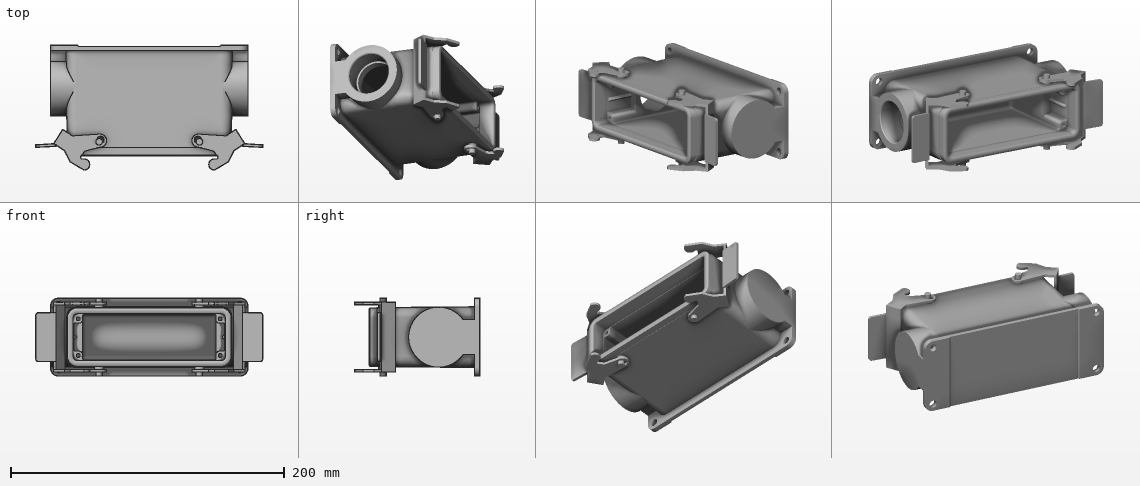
import cadquery as cq
import math


FLANGE_LENGTH = 144.2
FLANGE_HEIGHT = 57.0
FLANGE_THICKNESS = 4.0
FLANGE_CORNER_RADIUS = 6.0
FLANGE_HOLE_DIAMETER = 5.6
FLANGE_HOLE_X = 66.0
FLANGE_HOLE_Z = 23.0
RELIEF_HALF_LENGTH = 52.5
RELIEF_DEPTH = 1.0

BODY_LENGTH = 121.3
BODY_HEIGHT = 44.5
BODY_FRONT_DEPTH = 75.0
BODY_CORNER_RADIUS = 7.5
BODY_DRAFT = 0.5

LIP_LENGTH = 119.7
LIP_HEIGHT = 42.8
LIP_WIDTH = 4.3
LIP_EDGE_DEPTH = 80.2
LIP_CROWN = 0.7
LIP_CORNER_RADIUS = 7.3

MOUTH_LENGTH = LIP_LENGTH - 2 * LIP_WIDTH
MOUTH_HEIGHT = LIP_HEIGHT - 2 * LIP_WIDTH
MOUTH_CORNER_RADIUS = LIP_CORNER_RADIUS - LIP_WIDTH
MOUTH_FLOOR_DEPTH = 69.6
CAVITY_LENGTH = 97.5
CAVITY_HEIGHT = 33.5
CAVITY_FLOOR_DEPTH = 5.0
CAVITY_CORNER_RADIUS = 1.7
CAVITY_FLOOR_RADIUS = 3.0
SHELF_DEPTH = 48.0
SHELF_HALF_LENGTH = 55.0
SHELF_HEIGHT = 20.5
SHELF_WALL_RADIUS = 1.0
POST_CORNER_RADIUS = 2.3

SCREW_HOLE_DIAMETER = 2.8
SCREW_HOLE_LENGTH = 13.3
SCREW_HOLE_X = 51.9
SCREW_HOLE_Z = 13.5
RIB_FRONT_DEPTH = 68.8
RIB_HALF_WIDTH = 1.5
RIB_PROJECTION = 2.0

GLAND_DIAMETER = 44.0
GLAND_DEPTH = 30.0
GLAND_INNER_X = 53.0
GLAND_WEB_HEIGHT = 25.5
ENTRY_DIAMETER = 30.7
ENTRY_LENGTH = 16.0
ENTRY_CHAMFER = 0.7
BORE_DIAMETER = 28.0

PIN_X = 36.6
PIN_DEPTH = 70.6
PIN_DIAMETER = 4.8
COLLAR_DIAMETER = 7.0

LEVER_HEIGHT = 51.0
SHEET_THICKNESS = 2.0
EYE_X = 36.0
EYE_DEPTH = 69.8
EYE_RADIUS = 4.8
SLOT_LENGTH = PIN_DIAMETER + 2 * math.hypot(PIN_X - EYE_X, PIN_DEPTH - EYE_DEPTH)
SLOT_ANGLE = math.degrees(math.atan2(PIN_DEPTH - EYE_DEPTH, PIN_X - EYE_X))
HOOK_X = 47.5
HOOK_DEPTH = 87.2
HOOK_RADIUS = 4.1
BRIDGE_BACK = (-63.2, -61.5)
BRIDGE_FRONT = (-69.8, -72.0)
HANDLE_HEIGHT = 35.8
HANDLE_TIP_X = 82.9
HANDLE_DROP = 0.8
HANDLE_CORNER_RADIUS = 2.0

OVERLAP = 1.7


def block(length, height, start_depth, end_depth, radius=0.0, draft=0.0):
    """Box centred on X and Z between two depths, its edges along Y rounded and its sides drafted."""
    outline = cq.Sketch().rect(length, height)
    if radius:
        outline = outline.vertices().fillet(radius)
    plane = cq.Workplane("XZ", origin=(0, -start_depth, 0))
    return plane.placeSketch(outline).extrude(end_depth - start_depth, taper=draft)


def cylinder_along_x(diameter, start_x, end_x):
    plane = cq.Workplane("YZ", origin=(start_x, -GLAND_DEPTH, 0))
    return plane.circle(diameter / 2).extrude(end_x - start_x)


def mirrored_x(shape):
    return shape.mirror("YZ")


def make_flange():
    flange = block(FLANGE_LENGTH, FLANGE_HEIGHT, 0, FLANGE_THICKNESS, FLANGE_CORNER_RADIUS)
    holes = (
        cq.Workplane("XZ")
        .rect(2 * FLANGE_HOLE_X, 2 * FLANGE_HOLE_Z, forConstruction=True)
        .vertices()
        .circle(FLANGE_HOLE_DIAMETER / 2)
        .extrude(FLANGE_THICKNESS)
    )
    relief_end = RELIEF_HALF_LENGTH - RELIEF_DEPTH
    relief = (
        cq.Workplane("XY")
        .polyline(
            [
                (-RELIEF_HALF_LENGTH, 0),
                (-relief_end, -RELIEF_DEPTH),
                (relief_end, -RELIEF_DEPTH),
                (RELIEF_HALF_LENGTH, 0),
            ]
        )
        .close()
        .extrude(FLANGE_HEIGHT / 2, both=True)
    )
    return flange.cut(holes).cut(relief)


def make_lip():
    """Ring with a crowned front, swept round the opening."""
    half_x = LIP_LENGTH / 2
    half_z = LIP_HEIGHT / 2
    flat_x = half_x - LIP_CORNER_RADIUS
    flat_z = half_z - LIP_CORNER_RADIUS
    bulge = LIP_CORNER_RADIUS * math.sqrt(0.5)
    path = (
        cq.Workplane("XZ", origin=(0, -BODY_FRONT_DEPTH, 0))
        .moveTo(0, half_z)
        .lineTo(flat_x, half_z)
        .threePointArc((flat_x + bulge, flat_z + bulge), (half_x, flat_z))
        .lineTo(half_x, -flat_z)
        .threePointArc((flat_x + bulge, -flat_z - bulge), (flat_x, -half_z))
        .lineTo(-flat_x, -half_z)
        .threePointArc((-flat_x - bulge, -flat_z - bulge), (-half_x, -flat_z))
        .lineTo(-half_x, flat_z)
        .threePointArc((-flat_x - bulge, flat_z + bulge), (-flat_x, half_z))
        .close()
    )
    inner_z = half_z - LIP_WIDTH
    crown = (-LIP_EDGE_DEPTH - LIP_CROWN, half_z - LIP_WIDTH / 2)
    profile = (
        cq.Workplane("YZ")
        .moveTo(-BODY_FRONT_DEPTH, half_z)
        .lineTo(-LIP_EDGE_DEPTH, half_z)
        .threePointArc(crown, (-LIP_EDGE_DEPTH, inner_z))
        .lineTo(-BODY_FRONT_DEPTH, inner_z)
        .close()
    )
    return profile.sweep(path)


def make_gland():
    """Solid gland boss on the -X end, with a web that joins it to the flange."""
    end_x = -FLANGE_LENGTH / 2
    boss = cylinder_along_x(GLAND_DIAMETER, end_x, -GLAND_INNER_X)
    web = cq.Workplane("XY").box(
        -GLAND_INNER_X - end_x, GLAND_DEPTH, GLAND_WEB_HEIGHT, centered=(False, False, True)
    )
    return boss.union(web.translate((end_x, -GLAND_DEPTH, 0)))


def make_cable_entry():
    """Stepped hole from the -X end into the cavity, chamfered at its mouth."""
    end_x = -FLANGE_LENGTH / 2
    entry = cylinder_along_x(ENTRY_DIAMETER, end_x, end_x + ENTRY_LENGTH)
    flare = cylinder_along_x(ENTRY_DIAMETER + 2 * ENTRY_CHAMFER, end_x, end_x + ENTRY_CHAMFER)
    flare = flare.faces(">X").chamfer(ENTRY_CHAMFER * 0.999)
    bore = cylinder_along_x(BORE_DIAMETER, end_x, -CAVITY_LENGTH / 2 + OVERLAP)
    return entry.union(flare).union(bore)


def make_cavity():
    """Hollow of the housing: deep middle, shallower end shelves between posts, and the mouth."""
    deep = block(CAVITY_LENGTH, CAVITY_HEIGHT, CAVITY_FLOOR_DEPTH, MOUTH_FLOOR_DEPTH, CAVITY_CORNER_RADIUS)
    deep = deep.faces(">Y").edges().fillet(CAVITY_FLOOR_RADIUS)
    shelves = block(
        2 * SHELF_HALF_LENGTH, SHELF_HEIGHT, SHELF_DEPTH, MOUTH_FLOOR_DEPTH, SHELF_WALL_RADIUS
    )
    cavity = deep.union(shelves)
    step = OVERLAP / 10
    for side in (-1, 1):
        wall_x = side * CAVITY_LENGTH / 2
        near_wall = cq.selectors.BoxSelector(
            (wall_x - step, -MOUTH_FLOOR_DEPTH - step, -SHELF_HEIGHT / 2 - step),
            (wall_x + step, -SHELF_DEPTH - step, SHELF_HEIGHT / 2 + step),
        )
        cavity = cavity.edges(near_wall).edges("|Y").fillet(POST_CORNER_RADIUS)
    mouth = block(MOUTH_LENGTH, MOUTH_HEIGHT, BODY_FRONT_DEPTH, MOUTH_FLOOR_DEPTH, MOUTH_CORNER_RADIUS)
    return cavity.union(mouth)


def make_screw_holes():
    plane = cq.Workplane("XZ", origin=(0, -MOUTH_FLOOR_DEPTH, 0))
    centres = plane.rect(2 * SCREW_HOLE_X, 2 * SCREW_HOLE_Z, forConstruction=True).vertices()
    return centres.circle(SCREW_HOLE_DIAMETER / 2).extrude(-SCREW_HOLE_LENGTH)


def make_coding_ribs():
    """Pointed rib on the -X end wall and round rib on the +X end wall."""
    wall_x = SHELF_HALF_LENGTH
    length = RIB_FRONT_DEPTH - SHELF_DEPTH
    plane = cq.Workplane("XZ", origin=(0, -SHELF_DEPTH, 0))
    pointed = (
        plane.polyline(
            [(-wall_x, -RIB_HALF_WIDTH), (-wall_x + RIB_PROJECTION, 0), (-wall_x, RIB_HALF_WIDTH)]
        )
        .close()
        .extrude(length)
    )
    round_rib = plane.center(wall_x, 0).circle(RIB_HALF_WIDTH).extrude(length)
    return pointed.union(round_rib)


def make_pivots():
    """Pins through the levers, each on a wider collar that keeps the lever off the body."""
    collar_reach = LEVER_HEIGHT / 2 - SHEET_THICKNESS
    inner_z = MOUTH_HEIGHT / 2 + OVERLAP
    pivots = cq.Workplane("XY")
    for x in (-PIN_X, PIN_X):
        for side in (-1, 1):
            base = cq.Workplane("XY", origin=(x, -PIN_DEPTH, side * inner_z))
            pin = base.circle(PIN_DIAMETER / 2).extrude(side * (FLANGE_HEIGHT / 2 - inner_z))
            collar = base.circle(COLLAR_DIAMETER / 2).extrude(side * (collar_reach - inner_z))
            pivots = pivots.add(pin.union(collar))
    return pivots.combine()


def make_housing():
    body = block(
        BODY_LENGTH, BODY_HEIGHT, FLANGE_THICKNESS, BODY_FRONT_DEPTH, BODY_CORNER_RADIUS, BODY_DRAFT
    )
    gland = make_gland()
    shell = make_flange().union(body).union(gland).union(mirrored_x(gland))
    shell = shell.cut(make_cavity()).cut(make_cable_entry()).cut(make_screw_holes())
    shell = shell.union(make_coding_ribs()).union(make_pivots())
    return shell.union(make_lip(), clean=False)


def make_side_plate():
    """Flat hook-shaped plate of the -X lever with its pivot slot."""
    eye_back = (-EYE_X, -EYE_DEPTH + EYE_RADIUS)
    eye_tip = (-EYE_X + EYE_RADIUS, -EYE_DEPTH)
    eye_front = (-EYE_X, -EYE_DEPTH - EYE_RADIUS)
    hook_back = (-HOOK_X, -HOOK_DEPTH + HOOK_RADIUS)
    hook_tip = (-HOOK_X + HOOK_RADIUS, -HOOK_DEPTH)
    hook_front = (-HOOK_X, -HOOK_DEPTH - HOOK_RADIUS)
    plate = (
        cq.Workplane("XY")
        .moveTo(*BRIDGE_BACK)
        .lineTo(-56.2, -66.3)
        .lineTo(*eye_back)
        .threePointArc(eye_tip, eye_front)
        .lineTo(-47.0, -77.4)
        .lineTo(-50.2, -81.9)
        .lineTo(-49.5, -83.0)
        .lineTo(*hook_back)
        .threePointArc(hook_tip, hook_front)
        .lineTo(-57.7, -85.4)
        .lineTo(-62.0, -77.1)
        .lineTo(*BRIDGE_FRONT)
        .close()
        .extrude(SHEET_THICKNESS)
    )
    slot = (
        cq.Workplane("XY", origin=(-EYE_X, -EYE_DEPTH, 0))
        .slot2D(SLOT_LENGTH, PIN_DIAMETER, SLOT_ANGLE)
        .extrude(SHEET_THICKNESS)
    )
    return plate.cut(slot)


def make_lever():
    """Lever on the -X end: two side plates, the bridge between them and the handle."""
    half_height = LEVER_HEIGHT / 2
    upper = make_side_plate().translate((0, 0, half_height - SHEET_THICKNESS))
    lower = upper.mirror("XY")

    run_x = BRIDGE_BACK[0] - BRIDGE_FRONT[0]
    run_y = BRIDGE_BACK[1] - BRIDGE_FRONT[1]
    bridge_length = math.hypot(run_x, run_y)
    inset_x = SHEET_THICKNESS * run_y / bridge_length
    inset_y = -SHEET_THICKNESS * run_x / bridge_length
    bridge = (
        cq.Workplane("XY")
        .polyline(
            [
                BRIDGE_FRONT,
                BRIDGE_BACK,
                (BRIDGE_BACK[0] + inset_x, BRIDGE_BACK[1] + inset_y),
                (BRIDGE_FRONT[0] + inset_x, BRIDGE_FRONT[1] + inset_y),
            ]
        )
        .close()
        .extrude(half_height, both=True)
    )

    root_front = (BRIDGE_FRONT[0] + inset_x, BRIDGE_FRONT[1] + inset_y - SHEET_THICKNESS / 2)
    tip_y = BRIDGE_FRONT[1] - HANDLE_DROP
    handle = (
        cq.Workplane("XY")
        .polyline(
            [
                BRIDGE_FRONT,
                (-HANDLE_TIP_X, tip_y),
                (-HANDLE_TIP_X, tip_y - SHEET_THICKNESS),
                root_front,
                (BRIDGE_FRONT[0] + inset_x, BRIDGE_FRONT[1] + inset_y),
            ]
        )
        .close()
        .extrude(HANDLE_HEIGHT / 2, both=True)
        .faces("<X")
        .edges("not |Z")
        .fillet(HANDLE_CORNER_RADIUS)
    )
    return upper.union(lower).union(bridge).union(handle)


housing = make_housing()
left_lever = make_lever()
right_lever = mirrored_x(left_lever)

result = cq.Compound.makeCompound([housing.val(), left_lever.val(), right_lever.val()])